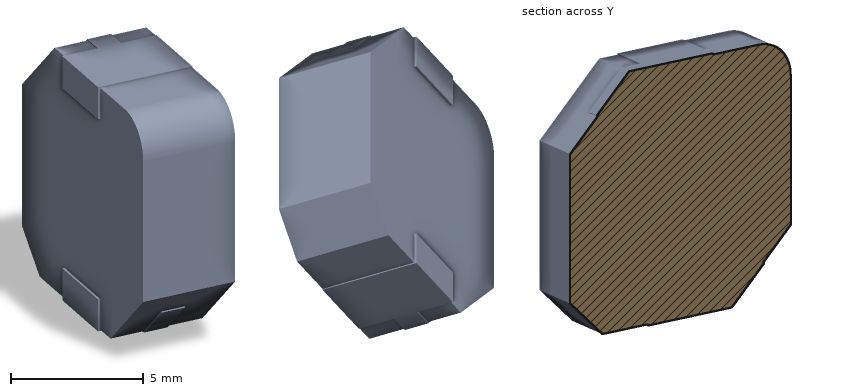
import cadquery as cq
import math

BODY_SIDE = 10.2
BODY_DEPTH = 3.9
LARGE_CHAMFER = 2.75
SMALL_CHAMFER = 1.5
CORNER_RADIUS = 1.5
CHAMFER_ANGLE = math.radians(45)

TERMINAL_WIDTH = 3.0
STRAP_THICKNESS = 0.05
PAD_THICKNESS = 0.1
PAD_HEIGHT = 1.3
TAB_WIDTH = 1.0
TAB_LENGTH = 2.1

HALF_SIDE = BODY_SIDE / 2
HALF_WIDTH = TERMINAL_WIDTH / 2
FRONT_Y = 0.0
PAD_FRONT_Y = FRONT_Y - PAD_THICKNESS
BACK_Y = FRONT_Y + BODY_DEPTH
TAB_CENTER_Y = (PAD_FRONT_Y + BACK_Y) / 2


def extrude_in_y(profile_points, front_y, back_y):
    """Prism with the given (x, z) profile between two Y positions."""
    plane = cq.Workplane("XZ", origin=(0, front_y, 0))
    return plane.polyline(profile_points).close().extrude(front_y - back_y)


def make_body():
    outline = [
        (-HALF_SIDE + SMALL_CHAMFER, -HALF_SIDE),
        (HALF_SIDE - LARGE_CHAMFER, -HALF_SIDE),
        (HALF_SIDE, -HALF_SIDE + LARGE_CHAMFER),
        (HALF_SIDE, HALF_SIDE),
        (-HALF_SIDE + LARGE_CHAMFER, HALF_SIDE),
        (-HALF_SIDE, HALF_SIDE - LARGE_CHAMFER),
        (-HALF_SIDE, -HALF_SIDE + SMALL_CHAMFER),
    ]
    block = extrude_in_y(outline, FRONT_Y, BACK_Y)
    rounded_corner = cq.selectors.NearestToPointSelector((HALF_SIDE, BODY_DEPTH / 2, HALF_SIDE))
    return block.edges("|Y").edges(rounded_corner).fillet(CORNER_RADIUS)


def make_strap_and_pad():
    """Strap over the top along the whole body depth, folded down over its front face."""
    strap_top = HALF_SIDE + STRAP_THICKNESS
    pad_bottom = HALF_SIDE - PAD_HEIGHT
    profile = [
        (PAD_FRONT_Y, pad_bottom),
        (PAD_FRONT_Y, strap_top),
        (BACK_Y, strap_top),
        (BACK_Y, HALF_SIDE),
        (FRONT_Y, HALF_SIDE),
        (FRONT_Y, pad_bottom),
    ]
    return cq.Workplane("YZ", origin=(-HALF_WIDTH, 0, 0)).polyline(profile).close().extrude(TERMINAL_WIDTH)


def make_tab():
    """Narrow tab from the strap, bent down along the upper left chamfer."""
    bend_x = -HALF_SIDE + LARGE_CHAMFER
    bend_setback = STRAP_THICKNESS * math.tan(CHAMFER_ANGLE / 2)
    normal_offset = STRAP_THICKNESS * math.sin(CHAMFER_ANGLE)
    tab_run = TAB_LENGTH * math.cos(CHAMFER_ANGLE)
    end_x = bend_x - tab_run
    end_z = HALF_SIDE - tab_run
    profile = [
        (-HALF_WIDTH, HALF_SIDE),
        (bend_x, HALF_SIDE),
        (end_x, end_z),
        (end_x - normal_offset, end_z + normal_offset),
        (bend_x - bend_setback, HALF_SIDE + STRAP_THICKNESS),
        (-HALF_WIDTH, HALF_SIDE + STRAP_THICKNESS),
    ]
    return extrude_in_y(profile, TAB_CENTER_Y - TAB_WIDTH / 2, TAB_CENTER_Y + TAB_WIDTH / 2)


terminal = make_strap_and_pad().union(make_tab())
result = make_body()
for turn_angle in (0, 180):
    result = result.union(terminal.rotate((0, 0, 0), (0, 1, 0), turn_angle))